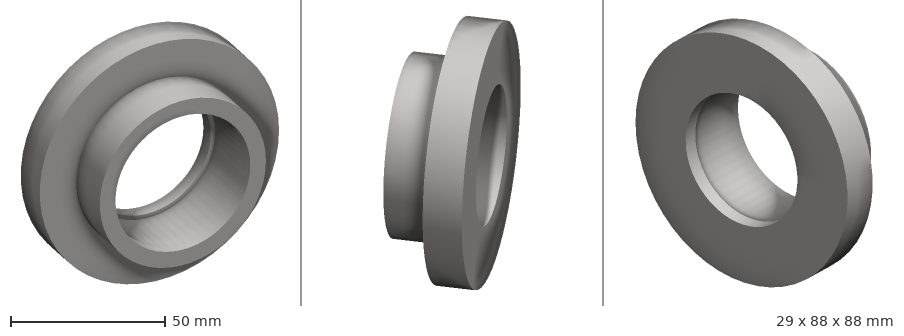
import cadquery as cq

total_length = 29.0
flange_diameter = 88.0
flange_thickness = 13.0
hub_diameter = 61.1
hub_length = total_length - flange_thickness

lip_diameter = 46.4
lip_length = 5.0
bore_diameter = 49.5
bore_length = total_length - lip_length


def cylinder(diameter, length, start=0.0):
    """Cylinder on the X axis running from `start` towards +X."""
    return cq.Workplane("YZ").workplane(offset=start).circle(diameter / 2).extrude(length)


flange = cylinder(flange_diameter, flange_thickness)
hub = cylinder(hub_diameter, hub_length, flange_thickness)
lip_opening = cylinder(lip_diameter, lip_length)
main_bore = cylinder(bore_diameter, bore_length, lip_length)

result = flange.union(hub).cut(lip_opening).cut(main_bore)